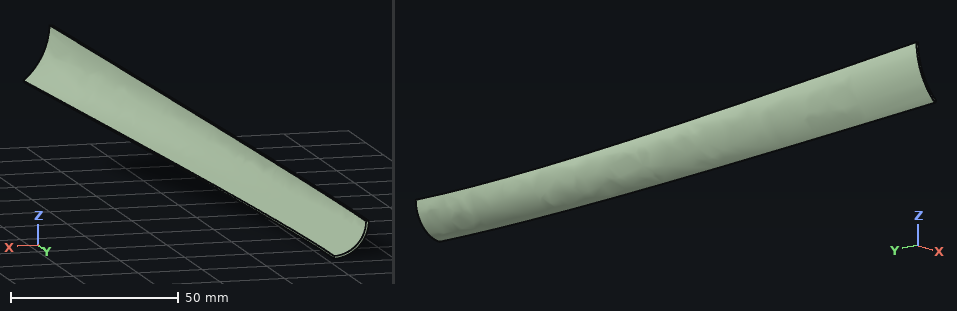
import cadquery as cq
import math

length = 149.4
wall = 0.9
station_count = 9

rear_upper = (0.0, 11.0)
rear_lower = (10.8, 0.0)
rear_depth = 3.1
front_upper = (57.4, 45.9)
front_lower = (65.9, 28.7)
front_depth = 2.1


def blend(start, end, share):
    return start + (end - start) * share


def blend_point(start, end, share):
    return tuple(blend(a, b, share) for a, b in zip(start, end))


def sweep_share(run):
    """Sideways travel: level at the rear end and straight at the front end."""
    return (3 * run**2 - run**3) / 2


def section(run):
    """Closed crescent-shaped strip section at a fraction of the length from the rear."""
    share = sweep_share(run)
    upper = blend_point(rear_upper, front_upper, share)
    lower = blend_point(rear_lower, front_lower, share)
    depth = blend(rear_depth, front_depth, share)

    chord_x = lower[0] - upper[0]
    chord_z = lower[1] - upper[1]
    chord = math.hypot(chord_x, chord_z)
    inward = (-chord_z / chord, chord_x / chord)
    middle = blend_point(upper, lower, 0.5)

    radius = (chord**2 / 4 + depth**2) / (2 * depth)
    centre = tuple(m + n * (radius - depth) for m, n in zip(middle, inward))
    outer_middle = tuple(c - n * radius for c, n in zip(centre, inward))
    inner_share = wall / radius
    inner_upper = blend_point(upper, centre, inner_share)
    inner_lower = blend_point(lower, centre, inner_share)
    inner_middle = blend_point(outer_middle, centre, inner_share)

    return (
        cq.Workplane("XZ", origin=(0, length * (1 - run), 0))
        .moveTo(*upper)
        .threePointArc(outer_middle, lower)
        .lineTo(*inner_lower)
        .threePointArc(inner_middle, inner_upper)
        .close()
        .val()
    )


sections = [section(i / (station_count - 1)) for i in range(station_count)]
result = cq.Workplane(cq.Solid.makeLoft(sections))